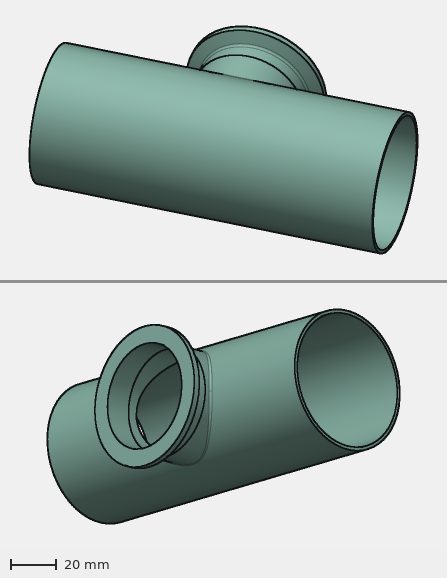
import cadquery as cq
import math

tube_length = 158.8
tube_diameter = 63.5
wall = 1.6

branch_diameter = 50.8
branch_face_y = 47.6
weld_fillet = 1.0

ferrule_length = 12.7
flange_diameter = 63.8
rim_thickness = 3.0
flange_angle = 20.0
neck_fillet = 1.3

tube_radius = tube_diameter / 2
branch_radius = branch_diameter / 2
bore_radius = branch_radius - wall
flange_radius = flange_diameter / 2
joint_y = branch_face_y - ferrule_length


def tube_cylinder(radius):
    """Solid cylinder along X with the full length of the run tube."""
    return cq.Workplane("YZ").circle(radius).extrude(tube_length / 2, both=True)


def branch_cylinder(radius):
    """Solid cylinder along +Y from the tube axis to the ferrule joint."""
    return cq.Workplane("XZ").circle(radius).extrude(-joint_y)


def make_tee():
    """Run tube with a short branch stub, hollow throughout."""
    outside = tube_cylinder(tube_radius).union(branch_cylinder(branch_radius))
    crossing_y = math.sqrt(tube_radius**2 - branch_radius**2)
    seam_box = cq.selectors.BoxSelector(
        (-branch_radius - wall, crossing_y - wall, -branch_radius - wall),
        (branch_radius + wall, tube_radius + wall, branch_radius + wall),
        boundingbox=True,
    )
    outside = outside.edges(seam_box).fillet(weld_fillet)
    return outside.cut(tube_cylinder(tube_radius - wall)).cut(branch_cylinder(bore_radius))


def make_ferrule():
    """Ring with a conical-backed flange, filleted into its neck."""
    cone_drop = (flange_radius - branch_radius) * math.tan(math.radians(flange_angle))
    rim_back_y = branch_face_y - rim_thickness
    cone_end_y = rim_back_y - cone_drop
    ring = (
        cq.Workplane("XY")
        .moveTo(bore_radius, joint_y)
        .lineTo(branch_radius, joint_y)
        .lineTo(branch_radius, cone_end_y)
        .lineTo(flange_radius, rim_back_y)
        .lineTo(flange_radius, branch_face_y)
        .lineTo(bore_radius, branch_face_y)
        .close()
        .revolve(360, (0, 0, 0), (0, 1, 0))
    )
    neck_corner = cq.selectors.BoxSelector(
        (-flange_radius, cone_end_y - wall, -flange_radius),
        (flange_radius, cone_end_y + wall, flange_radius),
        boundingbox=True,
    )
    return ring.edges(neck_corner).fillet(neck_fillet)


tee = make_tee()
ferrule = make_ferrule()

result = cq.Compound.makeCompound([tee.val(), ferrule.val()])